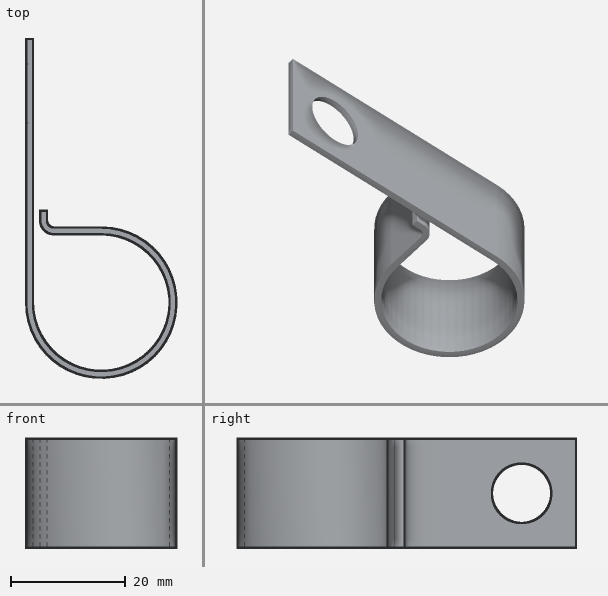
import cadquery as cq

thickness = 1.22
width = 19.05
loop_outer_diameter = 26.24
overall_length = 59.14

loop_outer_radius = loop_outer_diameter / 2
loop_inner_radius = loop_outer_radius - thickness
leg_end_y = overall_length - loop_outer_radius

hook_gap = thickness
hook_inner_radius = thickness
hook_outer_radius = hook_inner_radius + thickness
hook_rise = 2.92
hook_outer_x = -loop_inner_radius + hook_gap
hook_inner_x = hook_outer_x + thickness
hook_bend_x = hook_outer_x + hook_outer_radius
hook_bend_y = loop_inner_radius + hook_outer_radius
hook_tip_y = loop_outer_radius + hook_rise

hole_diameter = 10.32
hole_end_distance = 9.525


def make_strip():
    """Extrude the bent strip from its constant-thickness profile."""
    return (
        cq.Workplane("XY")
        .workplane(offset=-width / 2)
        .moveTo(-loop_outer_radius, leg_end_y)
        .lineTo(-loop_outer_radius, 0)
        .threePointArc((0, -loop_outer_radius), (loop_outer_radius, 0))
        .radiusArc((0, loop_outer_radius), -loop_outer_radius)
        .lineTo(hook_bend_x, loop_outer_radius)
        .radiusArc((hook_inner_x, hook_bend_y), hook_inner_radius)
        .lineTo(hook_inner_x, hook_tip_y)
        .lineTo(hook_outer_x, hook_tip_y)
        .lineTo(hook_outer_x, hook_bend_y)
        .radiusArc((hook_bend_x, loop_inner_radius), -hook_outer_radius)
        .lineTo(0, loop_inner_radius)
        .radiusArc((loop_inner_radius, 0), loop_inner_radius)
        .threePointArc((0, -loop_inner_radius), (-loop_inner_radius, 0))
        .lineTo(-loop_inner_radius, leg_end_y)
        .close()
        .extrude(width)
    )


def make_hole_cutter():
    """Cylinder along X through the leg, centred across the strip's width."""
    return (
        cq.Workplane("YZ")
        .workplane(offset=-loop_outer_radius)
        .center(leg_end_y - hole_end_distance, 0)
        .circle(hole_diameter / 2)
        .extrude(thickness)
    )


result = make_strip().cut(make_hole_cutter())